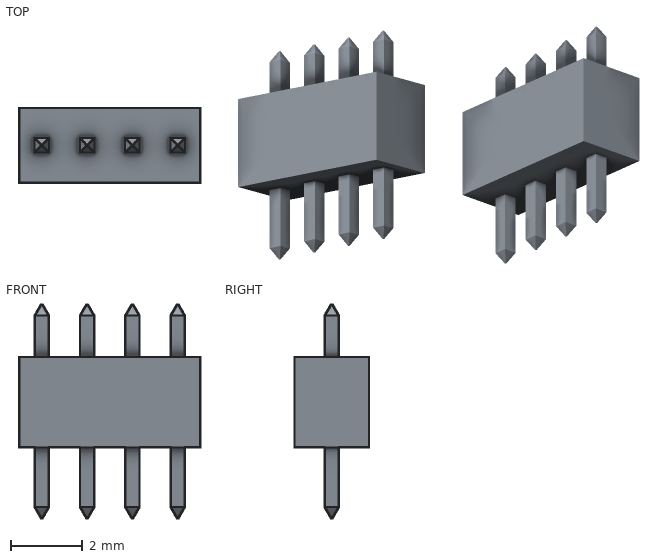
import cadquery as cq

housing_length = 5.08
housing_width = 2.1
housing_height = 2.54

pin_count = 4
pin_pitch = housing_length / pin_count
pin_side = 0.4
upper_pin_length = 1.47
total_height = 6.0
lower_pin_length = total_height - housing_height - upper_pin_length

tip_height = 0.32
tip_flat_side = 0.035

housing_top = housing_height / 2
housing_bottom = -housing_height / 2


def make_housing():
    """Plain block centred on the origin."""
    return cq.Workplane("XY").box(housing_length, housing_width, housing_height)


def make_pin(length):
    """Square pin standing on the XY plane, narrowing to a tiny flat at its upper end."""
    shaft_length = length - tip_height
    shaft = cq.Workplane("XY").rect(pin_side, pin_side).extrude(shaft_length)
    tip = (
        cq.Workplane("XY")
        .workplane(offset=shaft_length)
        .rect(pin_side, pin_side)
        .workplane(offset=tip_height)
        .rect(tip_flat_side, tip_flat_side)
        .loft(ruled=True)
    )
    return shaft.union(tip)


def make_upper_pin(x):
    """Pin standing on the top face of the housing."""
    return make_pin(upper_pin_length).translate((x, 0, housing_top))


def make_lower_pin(x):
    """Pin hanging from the bottom face of the housing."""
    hanging = make_pin(lower_pin_length).rotate((0, 0, 0), (1, 0, 0), 180)
    return hanging.translate((x, 0, housing_bottom))


housing = make_housing()
pin_places = [(i - (pin_count - 1) / 2) * pin_pitch for i in range(pin_count)]
upper_pins = [make_upper_pin(x).val() for x in pin_places]
lower_pins = [make_lower_pin(x).val() for x in pin_places]

result = cq.Compound.makeCompound([housing.val(), *upper_pins, *lower_pins])